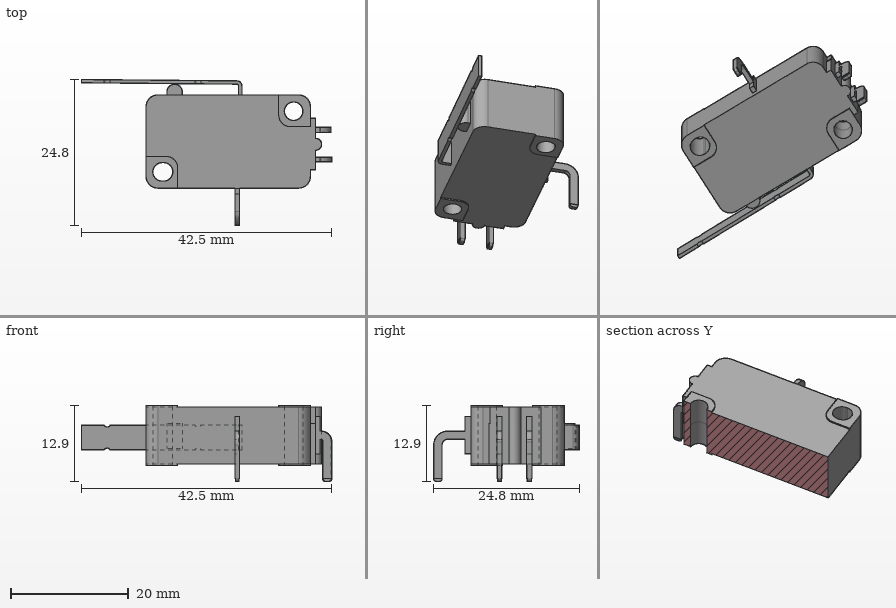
import cadquery as cq
import math

overall_height = 12.95

case_length = 27.95
case_width = 15.87
case_height = 9.75
case_corner_radius = 2.05
case_right = case_length / 2
case_back = case_width / 2
parting_height = 2.1

pad_size = 5.4
pad_height = 0.25
pad_inner_radius = 1.95
pad_total_height = case_height + 2 * pad_height

hole_diameter = 3.1
slot_length = 3.35
hole_spacing_x = 22.2
hole_spacing_y = 10.3

block_right = 14.85
block_back = 3.95
block_front = -4.72
block_lower_step = 0.13
rib_y = -0.45
rib_radius = 1.02

button_x = -9.1
button_width = 2.65
button_top = 9.75
button_thickness = 4.25

lever_left = -24.95
lever_right = 2.35
lever_tip_top = 10.55
lever_thickness = 0.6
lever_width = 4.2
lever_middle_z = -0.35
lever_slope = 0.5
lever_bend_radius = 0.9
notch_places = (-20.55, -5.15)
notch_width = 1.02
notch_depth = 0.3

arm_top = 0.75
arm_width = 1.4
plate_top = 3.25
plate_bottom = -3.1
leg_bottom = -7.28
tip_bottom = pad_total_height / 2 - overall_height
tip_radius = 0.45
tip_side_step = 0.1
root_depth = 0.43

common_reach = 14.25
common_plate_reach = 8.95
common_x = 1.55
common_thickness = 0.8
common_leg_width = 1.45
common_bend_radius = 1.0

end_plate_reach = 15.6
end_leg_width = 1.5
end_bend_radius = 0.43
closed_reach = 17.5
closed_y = 2.0
closed_thickness = 0.95
open_reach = 17.6
open_y = -3.05
open_thickness = 0.8


def case_body():
    """Rounded box with the corner pads on its upper and lower faces."""
    body = cq.Workplane("XY").box(case_length, case_width, case_height)
    for side, inner_edge in ((-1, ">X and >Y"), (1, "<X and <Y")):
        pad = (
            cq.Workplane("XY")
            .center(side * (case_length - pad_size) / 2, side * (case_width - pad_size) / 2)
            .box(pad_size, pad_size, pad_total_height)
            .edges("|Z")
            .edges(inner_edge)
            .fillet(pad_inner_radius)
        )
        body = body.union(pad)
    outline = (
        cq.Workplane("XY")
        .box(case_length, case_width, pad_total_height)
        .edges("|Z")
        .fillet(case_corner_radius)
    )
    return body.intersect(outline)


def mounting_holes():
    """Cutters for the round hole and the slot."""
    round_hole = (
        cq.Workplane("XY")
        .center(hole_spacing_x / 2, hole_spacing_y / 2)
        .circle(hole_diameter / 2)
        .extrude(pad_total_height, both=True)
    )
    slot = (
        cq.Workplane("XY")
        .center(-hole_spacing_x / 2, -hole_spacing_y / 2)
        .slot2D(slot_length, hole_diameter)
        .extrude(pad_total_height, both=True)
    )
    return round_hole.union(slot)


def box_between(low, high):
    """Box between two opposite corners."""
    size = [b - a for a, b in zip(low, high)]
    return cq.Workplane("XY").box(*size, centered=False).translate(low)


def end_block():
    """Block on the +X end, a little wider below the parting height, with its rib."""
    root = case_right - root_depth
    bottom = -case_height / 2
    top = case_height / 2
    upper = box_between((root, block_front, bottom), (block_right, block_back, top))
    lower_front = block_front - block_lower_step
    lower = box_between((root, lower_front, bottom), (block_right, block_back, parting_height))
    rib = (
        cq.Workplane("XY")
        .center(block_right, rib_y)
        .circle(rib_radius)
        .extrude(case_height / 2, both=True)
    )
    return upper.union(lower).union(rib)


def button():
    """Push button with a half-round top."""
    radius = button_width / 2
    return (
        cq.Workplane("XY", origin=(button_x, 0, parting_height - button_thickness))
        .moveTo(-radius, case_back - root_depth)
        .lineTo(radius, case_back - root_depth)
        .lineTo(radius, button_top - radius)
        .threePointArc((0, button_top), (-radius, button_top - radius))
        .close()
        .extrude(button_thickness)
    )


def lever():
    """Lever strip with its bent end and two pairs of round edge notches."""
    bend_top = lever_tip_top - (lever_right - lever_left) * math.tan(math.radians(lever_slope))
    leg_left = lever_right - lever_thickness
    root = case_back - root_depth
    strip = (
        cq.Workplane("XY", origin=(0, 0, lever_middle_z))
        .polyline(
            [
                (lever_left, lever_tip_top),
                (lever_right, bend_top),
                (lever_right, root),
                (leg_left, root),
                (leg_left, bend_top - lever_thickness),
                (lever_left, lever_tip_top - lever_thickness),
            ]
        )
        .close()
        .extrude(lever_width / 2, both=True)
    )
    outer_corner = cq.selectors.NearestToPointSelector((lever_right, bend_top, lever_middle_z))
    strip = strip.edges("|Z").edges(outer_corner).fillet(lever_bend_radius)
    inner_corner = cq.selectors.NearestToPointSelector(
        (leg_left, bend_top - lever_thickness, lever_middle_z)
    )
    strip = strip.edges("|Z").edges(inner_corner).fillet(lever_bend_radius - lever_thickness)
    notch_radius = ((notch_width / 2) ** 2 + notch_depth**2) / (2 * notch_depth)
    notch_offset = lever_width / 2 - notch_depth + notch_radius
    for x in notch_places:
        for side in (-1, 1):
            notch = (
                cq.Workplane("XZ")
                .center(x, lever_middle_z + side * notch_offset)
                .circle(notch_radius)
                .extrude(-2 * lever_tip_top)
            )
            strip = strip.cut(notch)
    return strip


def terminal(root, plate_reach, reach, leg_width, thickness, inner_radius):
    """Terminal that runs along +X from its root and bends down, with its thickness across Y."""
    leg_inside = reach - leg_width
    outer_radius = inner_radius + arm_width
    arm_bottom = arm_top - arm_width
    half = thickness / 2
    diagonal = math.sqrt(0.5)
    blade = (
        cq.Workplane("XZ")
        .moveTo(root, arm_top)
        .lineTo(reach - outer_radius, arm_top)
        .threePointArc(
            (reach - outer_radius * (1 - diagonal), arm_top - outer_radius * (1 - diagonal)),
            (reach, arm_top - outer_radius),
        )
        .lineTo(reach, leg_bottom)
        .lineTo(leg_inside, leg_bottom)
        .lineTo(leg_inside, arm_bottom - inner_radius)
        .threePointArc(
            (leg_inside - inner_radius * (1 - diagonal), arm_bottom - inner_radius * (1 - diagonal)),
            (leg_inside - inner_radius, arm_bottom),
        )
        .lineTo(root, arm_bottom)
        .close()
        .extrude(half, both=True)
    )
    tip_half = half - tip_side_step
    tip = box_between((leg_inside, -tip_half, tip_bottom), (reach, tip_half, leg_bottom))
    tip = tip.edges("|Y").edges("<Z").fillet(tip_radius)
    plate = box_between((root, -half, plate_bottom), (plate_reach, half, plate_top))
    return blade.union(tip).union(plate)


def common_terminal():
    """Terminal on the -Y side."""
    along_x = terminal(
        case_back - root_depth,
        common_plate_reach,
        common_reach,
        common_leg_width,
        common_thickness,
        common_bend_radius,
    )
    return along_x.rotate((0, 0, 0), (0, 0, 1), -90).translate((common_x, 0, 0))


def end_terminal(reach, y, thickness):
    """Terminal on the +X end."""
    along_x = terminal(
        case_right - root_depth,
        end_plate_reach,
        reach,
        end_leg_width,
        thickness,
        end_bend_radius,
    )
    return along_x.translate((0, y, 0))


result = (
    case_body()
    .union(end_block())
    .cut(mounting_holes())
    .union(button())
    .union(lever())
    .union(common_terminal())
    .union(end_terminal(closed_reach, closed_y, closed_thickness))
    .union(end_terminal(open_reach, open_y, open_thickness))
)